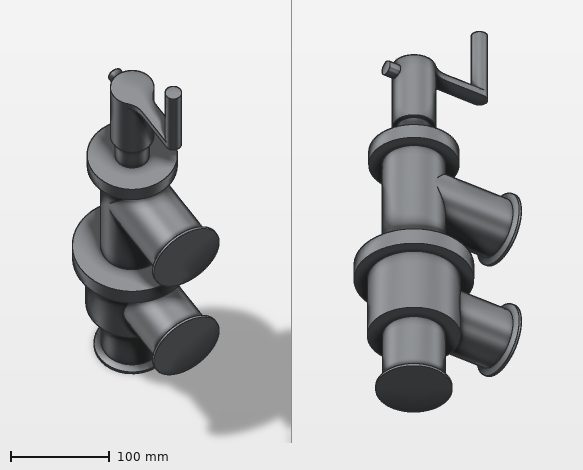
import cadquery as cq
import math


body_bottom = 68.0
body_top = 139.0
main_flange_top = 157.0
tube_top = 284.5
top_flange_top = 301.0
stem_top = 331.0
hub_top = 407.5
grip_top = 480.8

body_diameter = 94.0
main_flange_diameter = 121.0
tube_diameter = 64.5
top_flange_diameter = 91.5
stem_diameter = 35.0
hub_diameter = 44.0

pipe_diameter = 63.5
ferrule_diameter = 77.5
rim_thickness = 3.0
taper_length = 3.0
port_reach = 105.0
lower_port_height = 105.5
upper_port_height = 245.5

arm_thickness = 7.5
arm_length = 79.5
arm_blend_radius = 24.0
grip_diameter = 17.0
button_diameter = 15.0
button_reach = 33.5
button_height = 393.5


def disc(diameter, bottom, top):
    """Vertical cylinder on the main axis."""
    return cq.Workplane("XY").workplane(offset=bottom).circle(diameter / 2).extrude(top - bottom)


def clamp_pipe(length):
    """Pipe with its clamp rim at Z = 0, running up the Z axis."""
    pipe_radius = pipe_diameter / 2
    rim_radius = ferrule_diameter / 2
    return (
        cq.Workplane("XZ")
        .lineTo(rim_radius, 0)
        .lineTo(rim_radius, rim_thickness)
        .lineTo(pipe_radius, rim_thickness + taper_length)
        .lineTo(pipe_radius, length)
        .lineTo(0, length)
        .close()
        .revolve(360, (0, 0, 0), (0, 1, 0))
    )


def side_port(height):
    """Pipe from the main axis to a clamp rim on the +X side."""
    return (
        clamp_pipe(port_reach)
        .rotate((0, 0, 0), (0, 1, 0), -90)
        .translate((port_reach, 0, height))
    )


def make_lower_housing():
    bottom_pipe = clamp_pipe(body_bottom)
    body = disc(body_diameter, body_bottom, body_top)
    main_flange = disc(main_flange_diameter, body_top, main_flange_top)
    return bottom_pipe.union(body).union(main_flange).union(side_port(lower_port_height))


def make_upper_housing():
    tube = disc(tube_diameter, main_flange_top, tube_top)
    top_flange = disc(top_flange_diameter, tube_top, top_flange_top)
    return tube.union(top_flange).union(side_port(upper_port_height))


def make_arm():
    """Flat arm that blends into the hub with concave arcs and is round at the grip."""
    hub_radius = hub_diameter / 2
    half_width = grip_diameter / 2

    center_distance = hub_radius + arm_blend_radius
    center_y = half_width + arm_blend_radius
    center_x = math.sqrt(center_distance**2 - center_y**2)
    hub_x = center_x * hub_radius / center_distance
    hub_y = center_y * hub_radius / center_distance

    return (
        cq.Workplane("XY")
        .workplane(offset=hub_top - arm_thickness)
        .lineTo(hub_x, -hub_y)
        .radiusArc((center_x, -half_width), arm_blend_radius)
        .lineTo(arm_length, -half_width)
        .threePointArc((arm_length + half_width, 0), (arm_length, half_width))
        .lineTo(center_x, half_width)
        .radiusArc((hub_x, hub_y), arm_blend_radius)
        .close()
        .extrude(arm_thickness)
    )


def make_handle():
    stem = disc(stem_diameter, top_flange_top, stem_top)
    hub = disc(hub_diameter, stem_top, hub_top)
    grip = disc(grip_diameter, hub_top - arm_thickness, grip_top).translate((arm_length, 0, 0))
    button = (
        cq.Workplane("YZ", origin=(-button_reach, 0, button_height))
        .circle(button_diameter / 2)
        .extrude(button_reach)
    )
    return stem.union(hub).union(make_arm()).union(grip).union(button)


lower_housing = make_lower_housing()
upper_housing = make_upper_housing()
handle = make_handle()

result = cq.Compound.makeCompound([lower_housing.val(), upper_housing.val(), handle.val()])